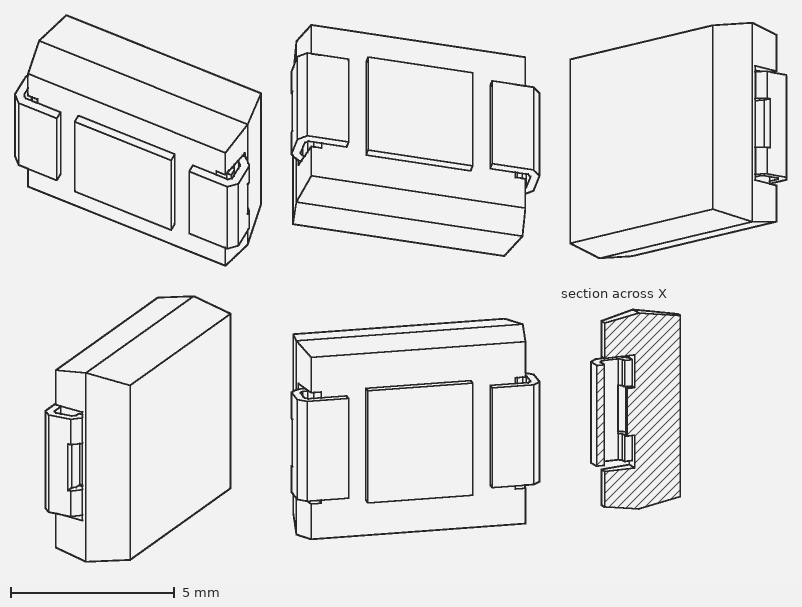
import cadquery as cq

length = 7.62
body_width = 7.12
body_height = 6.22
rear_depth = 1.395
front_depth = 1.14
rear_inset = 0.24
front_inset = 0.19

metal = 0.26
lead_height = 3.2
foot_length = 1.555
outer_chamfer = 0.25
inner_chamfer = 0.1
notch_height = 1.525
arm_end_x = 3.29

pocket_height = 3.565
pocket_wall_x = 3.05
pocket_ceiling_y = -0.14
key_length = 0.15

pad_width = 3.29
pad_height = 3.6

tip_x = length / 2
front_y = -front_depth
pad_y = front_y - metal
inner_x = tip_x - metal
lead_under_y = pocket_ceiling_y - metal
inner_bend_y = lead_under_y - inner_chamfer


def block(x_range, y_range, height):
    """Box between two X and two Y limits, centred on Z = 0."""
    x_min, x_max = x_range
    y_min, y_max = y_range
    box = cq.Workplane("XY").box(x_max - x_min, y_max - y_min, height)
    return box.translate(((x_min + x_max) / 2, (y_min + y_max) / 2, 0))


def tapered_half(end_y, inset):
    """Half of the body, narrowing from the parting plane to end_y."""
    return (
        cq.Workplane("XZ")
        .rect(body_width, body_height)
        .workplane(offset=-end_y)
        .rect(body_width - 2 * inset, body_height - 2 * inset)
        .loft(ruled=True, combine=True)
    )


def make_lead():
    """Lead at the +X end, with the upper bend notched into two arms."""
    profile = [
        (tip_x - foot_length, pad_y),
        (tip_x - outer_chamfer, pad_y),
        (tip_x, pad_y + outer_chamfer),
        (tip_x, pocket_ceiling_y - outer_chamfer),
        (tip_x - outer_chamfer, pocket_ceiling_y),
        (arm_end_x, pocket_ceiling_y),
        (arm_end_x, lead_under_y),
        (inner_x - inner_chamfer, lead_under_y),
        (inner_x, inner_bend_y),
        (inner_x, front_y + inner_chamfer),
        (inner_x - inner_chamfer, front_y),
        (tip_x - foot_length, front_y),
    ]
    strip = cq.Workplane("XY").polyline(profile).close().extrude(lead_height / 2, both=True)
    notch = block((arm_end_x, tip_x), (inner_bend_y, pocket_ceiling_y), notch_height)
    return strip.cut(notch)


body = tapered_half(rear_depth, rear_inset).union(tapered_half(front_y, front_inset))
pocket = block((pocket_wall_x, tip_x), (front_y, pocket_ceiling_y), pocket_height)
body = body.cut(pocket).cut(pocket.mirror("YZ"))

key = block(
    (pocket_wall_x, pocket_wall_x + key_length),
    (lead_under_y, pocket_ceiling_y),
    notch_height,
)
body = body.union(key).union(key.mirror("YZ"))

lead = make_lead()
pad = block((-pad_width / 2, pad_width / 2), (pad_y, front_y), pad_height)

result = body.union(pad).union(lead).union(lead.mirror("YZ"))